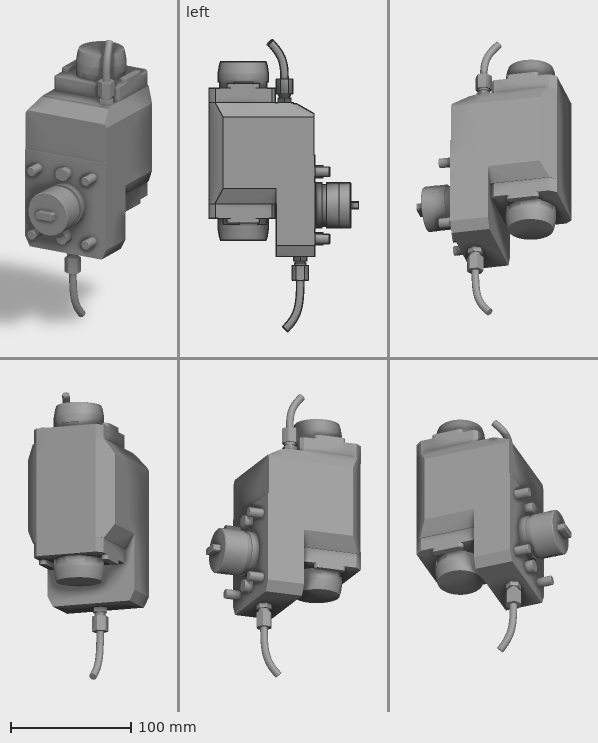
import cadquery as cq
import math


overall_height = 243

overlap = 3.6

width = 78.0
half_width = width / 2
front_depth = 32.3
housing_back = 88.2
front_bottom = -42.5
rear_step = 0.7
front_top = 84.5
rear_top = front_top + rear_step
bottom_bevel_width = 4.5
bottom_bevel_height = 9.0
side_bevel_width = 6.5
side_bevel_height = 11.2
nose_bevel_depth = 14.5
nose_bevel_height = 8.3
relief_bottom = 42.0
relief_depth = 0.7
seam_y = 17.7
rear_bottom = 1.2
rear_lower_bevel_width = 7.3
rear_lower_bevel_height = 12.6
back_bevel_width = 12.6
back_bevel_depth = 12.0

plate_width = 62.2
plate_front = 32.8
plate_thickness = 12.2
plate_corner = 2.7
plate_back_corner_width = 4.5
plate_back_corner_depth = 5.5
tab_width = 6.3
tab_length = 27.2
tab_height = 3.6
port_y = 59.5

cap_diameter = 42.0
cap_end_diameter = 38.0
cap_middle_diameter = 40.8
cap_crown_height = 10.0
upper_cap_height = 22.1
lower_cap_height = 18.2
notch_width = 15.8
notch_height = 5.0
notch_floor_diameter = 39.6
lower_notch_angle = 58

spindle_diameter = 38.0
body_diameter = 37.7
groove_diameter = 35.0
collar_length = 1.0
groove_start = 5.8
groove_end = 9.7
band_end = 20.0
spindle_length = 30.0
spindle_chamfer = 0.7
tang_width = 15.8
tang_thickness = 6.0
tang_length = 6.5
tang_corner_width = 2.0
tang_corner_height = 0.7

screw_x = 26.0
screw_z = 28.0
screw_diameter = 8.0
screw_length = 12.5
screw_chamfer = 0.5
locator_length = 6.8
locator_hole_diameter = 12.0
locator_hole_depth = 2.5
round_locator_diameter = 10.5
diamond_half_height = 5.3
diamond_half_width = 16.5

base_hex_corners = 12.6
base_hex_height = 4.0
neck_diameter = 8.3
neck_end = 5.5
flange_diameter = 9.7
nut_start = 7.3
nut_length = 12.6
nut_corners = 13.9
nut_chamfer = 0.5
nut_turn = 30
hose_diameter = 6.3
hose_end_angle = 45
hose_reach = 12.6
hose_stiffness = 0.82
upper_hose_rise = 30.5
hose_end_overhang = hose_diameter / 2 * math.sin(math.radians(hose_end_angle))
nut_end = nut_start + nut_length
hose_top = rear_top + nut_end + upper_hose_rise + hose_end_overhang
lower_hose_rise = overall_height - hose_top + front_bottom - nut_end - hose_end_overhang
upper_fitting_xy = (24.5, 25.3)
lower_fitting_xy = (0, 12.2)
upper_hose_turn = 18
lower_hose_turn = -7


def box(x_range, y_range, z_range):
    size = [high - low for low, high in (x_range, y_range, z_range)]
    corner = (x_range[0], y_range[0], z_range[0])
    return cq.Workplane("XY").box(*size, centered=False).translate(corner)


def forward_cylinder(diameter, start, end, x=0, z=0):
    """Cylinder along -Y between two distances ahead of the mounting face."""
    profile = cq.Workplane("XZ", origin=(x, -start, z)).circle(diameter / 2)
    return profile.extrude(end - start)


def trim_back_corners(body, half, bevel_width, bevel_depth):
    """Bevel the two vertical back corners, which stand at x = -half and x = half."""
    for side in (-1, 1):
        corner = (
            cq.Workplane("XY")
            .moveTo(side * half, housing_back)
            .lineTo(side * half, housing_back - bevel_depth)
            .lineTo(side * (half - bevel_width), housing_back)
            .close()
            .extrude(overall_height, both=True)
        )
        body = body.cut(corner)
    return body


def front_housing():
    shoulder = front_top - side_bevel_height
    right_side = [
        (half_width - bottom_bevel_width, front_bottom),
        (half_width, front_bottom + bottom_bevel_height),
        (half_width, shoulder),
        (half_width - side_bevel_width, front_top),
    ]
    left_side = [(-x, z) for x, z in reversed(right_side)]
    block = cq.Workplane("XZ").polyline(right_side + left_side).close().extrude(-front_depth)
    relief = (
        cq.Workplane("YZ")
        .moveTo(0, relief_bottom)
        .lineTo(relief_depth, relief_bottom)
        .lineTo(relief_depth, front_top - nose_bevel_height)
        .lineTo(relief_depth + nose_bevel_depth, front_top)
        .lineTo(0, front_top)
        .close()
        .extrude(half_width, both=True)
    )
    return block.cut(relief)


def rear_housing():
    shoulder = front_top - side_bevel_height
    bevel_width = side_bevel_width * (rear_top - shoulder) / side_bevel_height
    upper_right = [
        (half_width, shoulder),
        (half_width - bevel_width, rear_top),
    ]
    lower_right = [
        (half_width - rear_lower_bevel_width, rear_bottom),
        (half_width, rear_bottom + rear_lower_bevel_height),
    ]
    right_side = lower_right + upper_right
    left_side = [(-x, z) for x, z in reversed(right_side)]
    outline = cq.Workplane("XZ", origin=(0, seam_y, 0)).polyline(right_side + left_side).close()
    body = outline.extrude(seam_y - housing_back)
    return trim_back_corners(body, half_width, back_bevel_width, back_bevel_depth)


def port_plate(face_z, outward):
    """Plate on the housing at face_z, facing up (outward 1) or down (-1), with two side tabs."""
    half = plate_width / 2
    plate = box((-half, half), (plate_front, housing_back), (-overlap, plate_thickness))
    plate = plate.edges("|Z and <Y").chamfer(plate_corner)
    plate = trim_back_corners(plate, half, plate_back_corner_width, plate_back_corner_depth)
    for side in (-1, 1):
        tab_x = side * (half - tab_width / 2)
        tab = (
            cq.Workplane("XY", origin=(tab_x, port_y, 0))
            .slot2D(tab_length, tab_width, 90)
            .extrude(plate_thickness + tab_height)
        )
        plate = plate.union(tab)
    if outward < 0:
        plate = plate.mirror("XY")
    return plate.translate((0, 0, face_z))


def port_cap(face_z, outward, height, notch_angle):
    """Round cap with a crowned end and four notches at its foot."""
    crown_start = height - cap_crown_height
    cap = (
        cq.Workplane("XZ")
        .moveTo(0, -overlap)
        .lineTo(notch_floor_diameter / 2, -overlap)
        .lineTo(notch_floor_diameter / 2, 0)
        .lineTo(cap_diameter / 2, 0)
        .lineTo(cap_diameter / 2, crown_start)
        .threePointArc(
            (cap_middle_diameter / 2, crown_start + cap_crown_height / 2),
            (cap_end_diameter / 2, height),
        )
        .lineTo(0, height)
        .close()
        .revolve(360, (0, 0, 0), (0, 1, 0))
    )
    core = cq.Workplane("XY").circle(notch_floor_diameter / 2).extrude(notch_height)
    for angle in (notch_angle, notch_angle + 90):
        bar = box((-cap_diameter, cap_diameter), (-notch_width / 2, notch_width / 2), (0, notch_height))
        cap = cap.cut(bar.cut(core).rotate((0, 0, 0), (0, 0, 1), angle))
    if outward < 0:
        cap = cap.mirror("XY")
    return cap.translate((0, port_y, face_z))


def spindle():
    shaft = forward_cylinder(body_diameter, -overlap, groove_start)
    shaft = shaft.union(forward_cylinder(spindle_diameter, 0, collar_length))
    shaft = shaft.union(forward_cylinder(groove_diameter, 0, groove_end))
    shaft = shaft.union(forward_cylinder(body_diameter, groove_end, band_end))
    nose = forward_cylinder(spindle_diameter, band_end, spindle_length)
    shaft = shaft.union(nose.faces("<Y").chamfer(spindle_chamfer))
    corner = [
        (tang_width / 2, tang_thickness / 2 - tang_corner_height),
        (tang_width / 2 - tang_corner_width, tang_thickness / 2),
    ]
    upper_half = corner + [(-x, z) for x, z in reversed(corner)]
    lower_half = [(-x, -z) for x, z in upper_half]
    tang = cq.Workplane("XZ", origin=(0, -groove_end, 0)).polyline(upper_half + lower_half).close()
    return shaft.union(tang.extrude(spindle_length + tang_length - groove_end))


def screw(x, z):
    pin = forward_cylinder(screw_diameter, -overlap, screw_length, x, z)
    return pin.faces("<Y").chamfer(screw_chamfer)


def locator_hole(z):
    return forward_cylinder(locator_hole_diameter, -locator_hole_depth, 0, 0, z)


def round_locator():
    return forward_cylinder(round_locator_diameter, -overlap, locator_length, 0, -screw_z)


def diamond_locator():
    """Pin filling its hole sideways, flattened above and below into two shallow ridges."""
    stem = forward_cylinder(locator_hole_diameter, -overlap, locator_length, 0, screw_z)
    rhombus = (
        cq.Workplane("XZ", origin=(0, overlap, screw_z))
        .moveTo(diamond_half_width, 0)
        .lineTo(0, diamond_half_height)
        .lineTo(-diamond_half_width, 0)
        .lineTo(0, -diamond_half_height)
        .close()
        .extrude(overlap + locator_length)
    )
    return stem.intersect(rhombus)


def hose(rise, turn):
    """Hose leaving the nut along Z and curving toward +Y; turn swings the curve about Z."""
    end_angle = math.radians(hose_end_angle)
    elbow = nut_end + rise - hose_reach / math.tan(end_angle)
    end = (hose_reach, nut_end + rise)
    leaving = (0, nut_end + hose_stiffness * (elbow - nut_end))
    arriving = (hose_reach * (1 - hose_stiffness), end[1] + hose_stiffness * (elbow - end[1]))
    path = (
        cq.Workplane("YZ")
        .moveTo(0, nut_start)
        .lineTo(0, nut_end)
        .bezier([leaving, arriving, end], includeCurrent=True)
    )
    tube = cq.Workplane("XY", origin=(0, 0, nut_start)).circle(hose_diameter / 2).sweep(path)
    return tube.rotate((0, 0, 0), (0, 0, 1), turn)


def fitting(rise, turn):
    """Compression fitting standing on z = 0, with its hose."""
    base = cq.Workplane("XY", origin=(0, 0, -overlap)).polygon(6, base_hex_corners)
    body = base.extrude(overlap + base_hex_height)
    body = body.union(cq.Workplane("XY").circle(neck_diameter / 2).extrude(nut_start))
    flange = cq.Workplane("XY", origin=(0, 0, neck_end)).circle(flange_diameter / 2)
    body = body.union(flange.extrude(nut_start - neck_end))
    nut_plane = cq.Workplane("XY", origin=(0, 0, nut_start))
    nut = nut_plane.polygon(6, nut_corners).extrude(nut_length).rotate((0, 0, 0), (0, 0, 1), nut_turn)
    nut_round = nut_plane.circle(nut_corners / 2).extrude(nut_length)
    nut = nut.intersect(nut_round.faces("<Z or >Z").chamfer(nut_chamfer))
    return body.union(nut).union(hose(rise, turn))


upper_port = rear_top + plate_thickness
lower_port = rear_bottom - plate_thickness

rear = rear_housing().union(port_plate(rear_top, 1)).union(port_plate(rear_bottom, -1))
result = front_housing().union(rear)
result = result.union(port_cap(upper_port, 1, upper_cap_height, 0))
result = result.union(port_cap(lower_port, -1, lower_cap_height, lower_notch_angle))
result = result.cut(locator_hole(screw_z)).cut(locator_hole(-screw_z))
result = result.union(spindle()).union(round_locator()).union(diamond_locator())

for x in (-screw_x, screw_x):
    for z in (-screw_z, screw_z):
        result = result.union(screw(x, z))

upper_fitting = fitting(upper_hose_rise, upper_hose_turn)
result = result.union(upper_fitting.translate((*upper_fitting_xy, rear_top)))
lower_fitting = fitting(lower_hose_rise, lower_hose_turn).mirror("XY")
result = result.union(lower_fitting.translate((*lower_fitting_xy, front_bottom)))